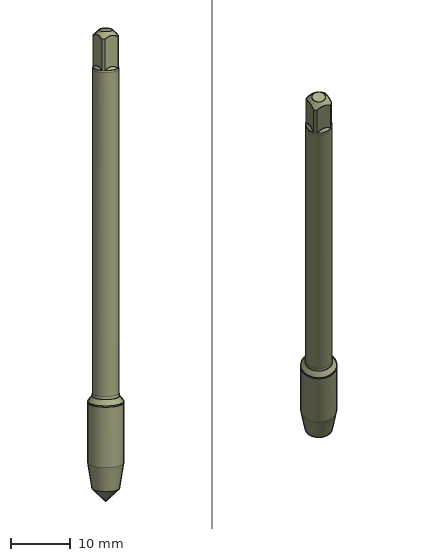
import cadquery as cq

total_length = 82.2

head_diameter = 6.1
point_diameter = 4.7
point_height = point_diameter / 2
lead_top = 6.7
head_top = 17.3

shank_diameter = 4.5
shoulder_bottom = 17.5
neck_diameter = 4.7
neck_top = 18.9
neck_bottom = 18.4
shank_top = 75.4

drive_across_flats = 3.45
drive_corner_diameter = 4.35
drive_corner_bottom = 75.7
drive_bottom = 76.2
drive_tip_diameter = 2.3
drive_corner_drop = (drive_corner_diameter - drive_tip_diameter) / 2


def turned(profile):
    """Revolve (diameter, height) points about the Z axis, closing along the axis."""
    points = [(diameter / 2, height) for diameter, height in profile]
    return cq.Workplane("XZ").polyline(points).close().revolve(360, (0, 0, 0), (0, 1, 0))


def make_head():
    """Pointed cutting head with a tapered lead."""
    return turned([
        (0, 0),
        (point_diameter, point_height),
        (head_diameter, lead_top),
        (head_diameter, head_top),
        (0, head_top),
    ])


def make_square_drive():
    """Square drive with rounded corners and a conical end."""
    drive_blank = turned([
        (0, shank_top),
        (drive_corner_diameter, shank_top),
        (drive_corner_diameter, total_length - drive_corner_drop),
        (drive_tip_diameter, total_length),
        (0, total_length),
    ])
    square_bar = (
        cq.Workplane("XY", origin=(0, 0, shank_top))
        .rect(drive_across_flats, drive_across_flats)
        .extrude(total_length - shank_top)
    )
    return drive_blank.intersect(square_bar)


def make_shank():
    """Round shank with a stepped cone at each end and the square drive on top."""
    round_shank = turned([
        (0, head_top),
        (head_diameter, head_top),
        (head_diameter, shoulder_bottom),
        (neck_diameter, neck_bottom),
        (shank_diameter, neck_top),
        (shank_diameter, shank_top),
        (drive_corner_diameter, drive_corner_bottom),
        (drive_across_flats, drive_bottom),
        (0, drive_bottom),
    ])
    return round_shank.union(make_square_drive())


head = make_head()
shank = make_shank()

result = cq.Compound.makeCompound([head.val(), shank.val()])